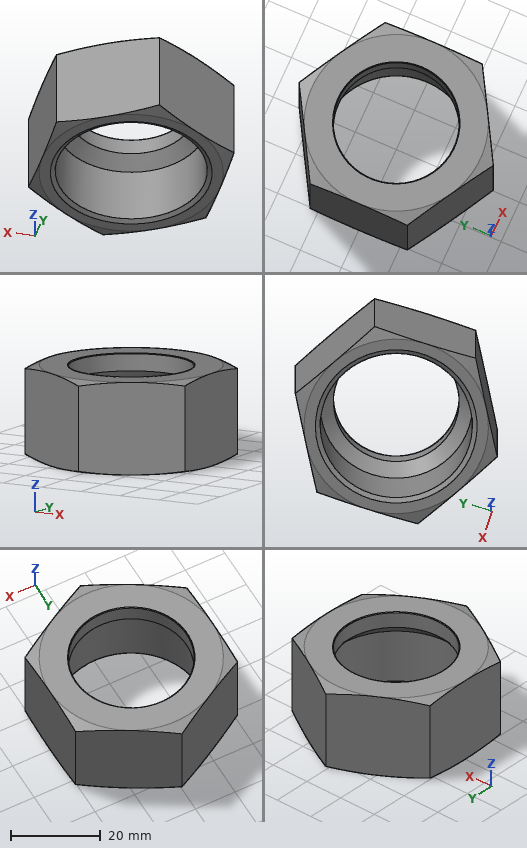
import cadquery as cq
import math

across_corners = 47.35
across_flats = across_corners * math.cos(math.radians(30))
height = 21.0
chamfer_angle = 15.0

collar_diameter = 28.0
collar_depth = 4.05
rim_chamfer = 0.2
cavity_diameter = 33.85
shoulder_angle = 45.0
mouth_diameter = 36.0
mouth_chamfer_angle = 30.0


def hexagon_blank():
    """Upright hexagonal prism with two corners on the Y axis."""
    return (
        cq.Workplane("XY")
        .polygon(6, across_corners)
        .extrude(height)
        .rotate((0, 0, 0), (0, 0, 1), 30)
    )


def corner_envelope():
    """Turned solid whose end cones bevel the hexagon corners."""
    face_radius = across_flats / 2
    outer_radius = across_corners / 2
    drop = (outer_radius - face_radius) * math.tan(math.radians(chamfer_angle))
    profile = [
        (0, 0),
        (face_radius, 0),
        (outer_radius, drop),
        (outer_radius, height - drop),
        (face_radius, height),
        (0, height),
    ]
    return cq.Workplane("XZ").polyline(profile).close().revolve(360, (0, 0), (0, 1))


def stepped_bore():
    """Turned cutter for the collar, conical shoulder, cavity and edge chamfers."""
    collar_radius = collar_diameter / 2
    cavity_radius = cavity_diameter / 2
    mouth_radius = mouth_diameter / 2
    mouth_depth = (mouth_radius - cavity_radius) * math.tan(math.radians(mouth_chamfer_angle))
    shoulder_top = height - collar_depth
    shoulder_height = (cavity_radius - collar_radius) / math.tan(math.radians(shoulder_angle))
    profile = [
        (0, 0),
        (mouth_radius, 0),
        (cavity_radius, mouth_depth),
        (cavity_radius, shoulder_top - shoulder_height),
        (collar_radius, shoulder_top),
        (collar_radius, height - rim_chamfer),
        (collar_radius + rim_chamfer, height),
        (0, height),
    ]
    return cq.Workplane("XZ").polyline(profile).close().revolve(360, (0, 0), (0, 1))


result = hexagon_blank().intersect(corner_envelope()).cut(stepped_bore())